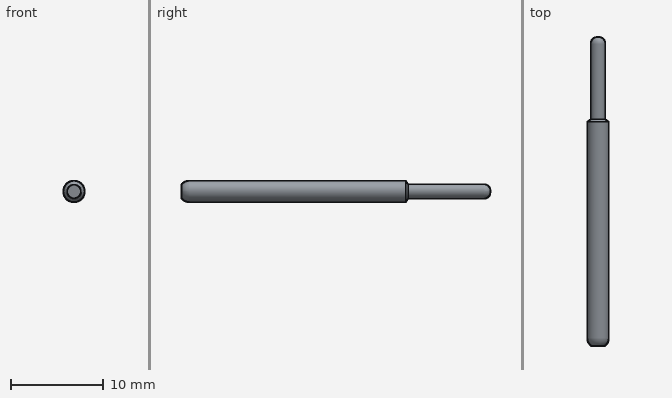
import cadquery as cq
import math

length = 33.6
body_radius = 1.18
tip_radius = 0.8

tip_length = 8.97
shoulder_length = 0.27

rear_round_length = 0.85
rear_flat_radius = 0.75

dome_radius = 0.75

rear_y = -length / 2
front_y = length / 2
step_y = front_y - tip_length
shoulder_y = step_y - shoulder_length
round_start_y = rear_y + rear_round_length
dome_start_y = front_y - dome_radius


def rear_arc_midpoint():
    """Return a point halfway along the rear arc, which is tangent to the body."""
    drop = body_radius - rear_flat_radius
    arc_radius = (drop**2 + rear_round_length**2) / (2 * drop)
    half_angle = math.asin(rear_round_length / arc_radius) / 2
    x = body_radius - arc_radius * (1 - math.cos(half_angle))
    y = round_start_y - arc_radius * math.sin(half_angle)
    return x, y


def dome_arc_midpoint():
    """Return the 45-degree point of the quarter arc on the tip."""
    offset = dome_radius * math.cos(math.pi / 4)
    return tip_radius - dome_radius + offset, dome_start_y + offset


half_section = (
    cq.Workplane("XY")
    .moveTo(0, rear_y)
    .lineTo(rear_flat_radius, rear_y)
    .threePointArc(rear_arc_midpoint(), (body_radius, round_start_y))
    .lineTo(body_radius, shoulder_y)
    .lineTo(tip_radius, step_y)
    .lineTo(tip_radius, dome_start_y)
    .threePointArc(dome_arc_midpoint(), (tip_radius - dome_radius, front_y))
    .lineTo(0, front_y)
    .close()
)

result = half_section.revolve(360, (0, 0, 0), (0, 1, 0))